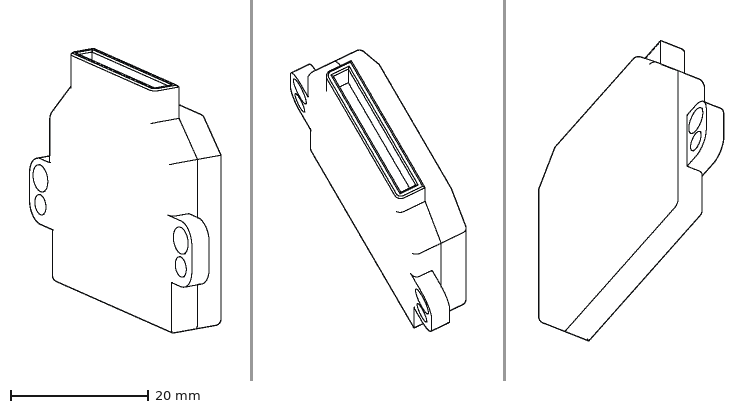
import cadquery as cq

total_width = 44.0
total_height = 36.0
total_depth = 9.0
body_width = 33.0
neck_width = 23.0
neck_height = 5.0
housing_depth = 4.5
edge_radius = 1.0

ear_bottom = 8.0
ear_height = 10.0
ear_thickness = 3.0
ear_corner_radius = 3.0
ear_hole_inset = 3.0
large_hole_diameter = 4.0
large_hole_height = 15.0
small_hole_diameter = 3.0
small_hole_height = 11.0

neck_wall = 1.0
opening_depth = neck_height
rim_chamfer = 0.25

half_body = body_width / 2
half_neck = neck_width / 2
shoulder_top = total_height - neck_height
shoulder_bottom = shoulder_top - (half_body - half_neck)
shoulder_middle_x = (half_body + half_neck) / 2
shoulder_middle_z = (shoulder_top + shoulder_bottom) / 2
ear_top = ear_bottom + ear_height


def shoulder_outline(plane):
    """Body outline with sloping shoulders, without the neck."""
    return cq.Workplane(plane).polyline([
        (-half_body, 0),
        (half_body, 0),
        (half_body, shoulder_bottom),
        (half_neck, shoulder_top),
        (-half_neck, shoulder_top),
        (-half_body, shoulder_bottom),
    ]).close()


def extrude_back(outline, depth):
    """Extrude an XZ outline toward +Y (the plane normal is -Y)."""
    return outline.extrude(-depth)


def edges_nearest(body, midpoints):
    """Select the edges whose midpoints are nearest to the given points."""
    return body.newObject([
        body.edges(cq.NearestToPointSelector(point)).val() for point in midpoints
    ])


def build_ears():
    """Bar across the front whose rounded ends form both ears."""
    bar = extrude_back(
        cq.Workplane("XZ").center(0, ear_bottom + ear_height / 2).rect(total_width, ear_height),
        ear_thickness,
    )
    return bar.edges("|Y").fillet(ear_corner_radius)


def cut_ear_holes(body):
    hole_x = total_width / 2 - ear_hole_inset
    holes = ((large_hole_height, large_hole_diameter), (small_hole_height, small_hole_diameter))
    for x in (-hole_x, hole_x):
        for z, diameter in holes:
            hole = extrude_back(cq.Workplane("XZ").center(x, z).circle(diameter / 2), ear_thickness)
            body = body.cut(hole)
    return body


def round_housing(body):
    """Round the front and base edges; the upper left and lower right front edges stay sharp."""
    lower_side_z = ear_bottom / 2
    upper_side_z = (ear_top + shoulder_bottom) / 2
    neck_side_z = shoulder_top + neck_height / 2
    base_edges = [
        (0, 0, 0),
        (-half_body, 0, lower_side_z),
        (-half_body, housing_depth / 2, 0),
        (half_body, housing_depth / 2, 0),
    ]
    upper_edges = [
        (-shoulder_middle_x, 0, shoulder_middle_z),
        (shoulder_middle_x, 0, shoulder_middle_z),
        (half_body, 0, upper_side_z),
        (-half_neck, 0, neck_side_z),
        (half_neck, 0, neck_side_z),
    ]
    return edges_nearest(body, base_edges + upper_edges).fillet(edge_radius)


def cut_neck_opening(body):
    """Chamfer the outer rim, then cut the blind opening with a chamfered mouth."""
    body = body.faces(">Z").edges().chamfer(rim_chamfer)
    opening = cq.Workplane("XY").box(
        neck_width - 2 * neck_wall,
        housing_depth - 2 * neck_wall,
        opening_depth,
    ).translate((0, housing_depth / 2, total_height - opening_depth / 2))
    mouth = opening.faces(">Z").wires().toPending().workplane().offset2D(rim_chamfer, "intersection")
    mouth = mouth.extrude(-rim_chamfer, combine=False, taper=45)
    return body.cut(opening).cut(mouth)


def build_housing():
    body = extrude_back(shoulder_outline("XZ"), housing_depth)
    neck = cq.Workplane("XY").box(
        neck_width, housing_depth, neck_height, centered=(True, False, False)
    ).translate((0, 0, shoulder_top))
    body = body.union(neck).union(build_ears()).clean()
    return cut_neck_opening(cut_ear_holes(round_housing(body)))


def build_lid():
    """Back cover with rounded base corners, shoulder tops and back edges."""
    lid_depth = total_depth - housing_depth
    body = extrude_back(shoulder_outline("XZ"), lid_depth).translate((0, housing_depth, 0))
    middle_y = housing_depth + lid_depth / 2
    corner_edges = [
        (side * x, middle_y, z)
        for side in (-1, 1)
        for x, z in ((half_body, 0), (half_neck, shoulder_top))
    ]
    body = edges_nearest(body, corner_edges).fillet(edge_radius)
    return body.faces(">Y").edges().fillet(edge_radius)


housing = build_housing()
lid = build_lid()

result = cq.Compound.makeCompound([housing.val(), lid.val()])